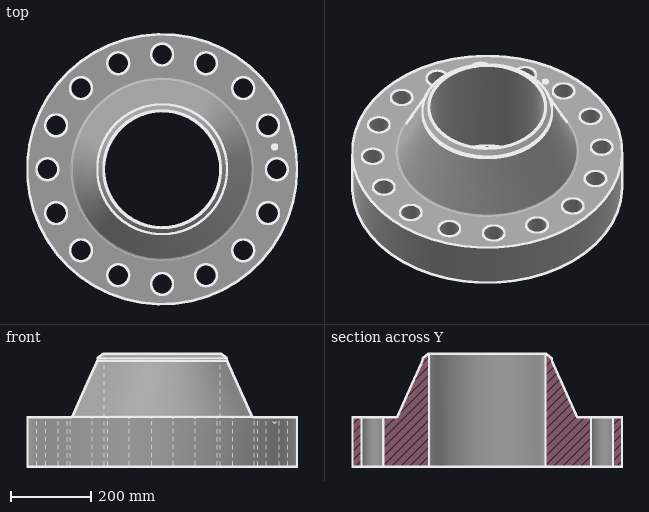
import cadquery as cq
import math

flange_diameter = 673.0
flange_thickness = 124.5
overall_height = 282.5
bore_diameter = 289.5

hub_base_diameter = 449.5
pipe_diameter = 324.0
land_width = 2.0
bevel_height = 12.0
pipe_end_height = 6.0
hub_fillet_radius = 3.5

bolt_count = 16
bolt_circle_diameter = 571.0
bolt_hole_diameter = 54.0
jack_mouth_diameter = 13.0
jack_hole_diameter = 8.0
jack_hole_depth = 13.5
drill_tip_angle = 118.0


def flange_body():
    """Revolve the plate, tapered hub and bevelled welding end about Z."""
    flange_radius = flange_diameter / 2
    bore_radius = bore_diameter / 2
    hub_radius = hub_base_diameter / 2
    pipe_radius = pipe_diameter / 2
    bevel_bottom = overall_height - bevel_height
    taper_top = bevel_bottom - pipe_end_height
    profile = (
        cq.Workplane("XZ")
        .moveTo(bore_radius, 0)
        .lineTo(flange_radius, 0)
        .lineTo(flange_radius, flange_thickness)
        .lineTo(hub_radius, flange_thickness)
        .lineTo(pipe_radius, taper_top)
        .lineTo(pipe_radius, bevel_bottom)
        .lineTo(bore_radius + land_width, overall_height)
        .lineTo(bore_radius, overall_height)
        .close()
    )
    body = profile.revolve(360, (0, 0, 0), (0, 1, 0))
    plate_top = body.faces("+Z").faces("<Z")
    hub_corner = plate_top.edges(cq.selectors.RadiusNthSelector(0))
    return hub_corner.fillet(hub_fillet_radius)


def bolt_holes():
    """Through holes evenly spaced on the bolt circle, the first on +X."""
    return (
        cq.Workplane("XY")
        .polarArray(bolt_circle_diameter / 2, 0, 360, bolt_count)
        .circle(bolt_hole_diameter / 2)
        .extrude(flange_thickness)
    )


def jack_screw_hole():
    """Blind countersunk hole with a conical drill tip, cut from the plate's top face."""
    mouth_radius = jack_mouth_diameter / 2
    hole_radius = jack_hole_diameter / 2
    countersink_depth = mouth_radius - hole_radius
    tip_depth = hole_radius / math.tan(math.radians(drill_tip_angle / 2))
    half_pitch_angle = math.radians(180 / bolt_count)
    bolt_circle_radius = bolt_circle_diameter / 2
    cutter = (
        cq.Workplane("XZ")
        .moveTo(0, 0)
        .lineTo(mouth_radius, 0)
        .lineTo(hole_radius, -countersink_depth)
        .lineTo(hole_radius, -jack_hole_depth)
        .lineTo(0, -jack_hole_depth - tip_depth)
        .close()
        .revolve(360, (0, 0, 0), (0, 1, 0))
    )
    return cutter.translate((
        bolt_circle_radius * math.cos(half_pitch_angle),
        bolt_circle_radius * math.sin(half_pitch_angle),
        flange_thickness,
    ))


result = flange_body().cut(bolt_holes()).cut(jack_screw_hole())